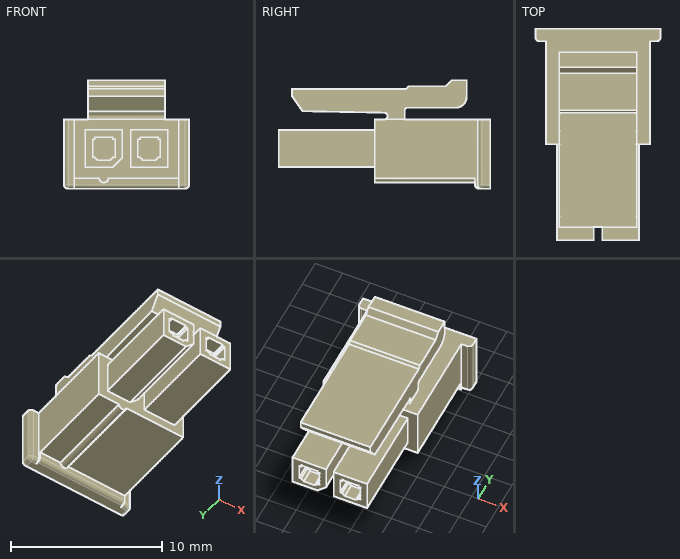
import cadquery as cq


TOTAL_LENGTH = 14.0
TOTAL_HEIGHT = 7.18

BODY_WIDTH = 6.88
BODY_FRONT_Y = 6.34
BODY_BOTTOM_Z = 0.71
BODY_TOP_Z = 4.59

FLANGE_WIDTH = 8.29
WING_THICKNESS = 0.85
LIP_THICKNESS = 1.03
FLANGE_ROUND = 0.28

PITCH = 3.0
PRONG_SIZE = 2.45
PRONG_CENTER_Z = 2.66
KEY_CHAMFER = 0.62

CAVITY_DEPTH = 1.0
CAVITY_WIDTH = 1.48
CAVITY_TOP = 0.74
CAVITY_BOTTOM = -0.79
NOTCH = 0.14
SHOULDER_HEIGHT = -0.59
CAVITY_FLOOR_WIDTH = 0.8

RIB_RADIUS = 0.3

LATCH_WIDTH = 5.1
LATCH_REAR_Y = 12.44
LATCH_REAR_ROUND = 0.75
LATCH_UNDERSIDE_Z = 5.34
THUMB_PAD_FRONT_Y = 11.45
THUMB_PAD_DROP = 0.4
STEP_REAR_Y = 8.6
STEP_DROP = 0.18
TIP_Y = 0.88
TIP_UNDERCUT_Y = 1.58
TIP_EDGE_HEIGHT = 0.48
TIP_BOTTOM_Z = 5.12
NECK_REAR_Y = 8.35
NECK_FRONT_Y = 7.2
NECK_REAR_ROUND = 0.13
SLOT_TOP_Z = 5.02


def block(x_size, y_range, z_range, x_center=0.0):
    """Box centred on x_center and spanning the given Y and Z ranges."""
    y_min, y_max = y_range
    z_min, z_max = z_range
    return cq.Workplane("XY").box(
        x_size, y_max - y_min, z_max - z_min, centered=(True, False, False)
    ).translate((x_center, y_min, z_min))


def make_body():
    return block(BODY_WIDTH, (BODY_FRONT_Y, TOTAL_LENGTH), (BODY_BOTTOM_Z, BODY_TOP_Z))


def make_flange():
    wings = block(FLANGE_WIDTH, (TOTAL_LENGTH - WING_THICKNESS, TOTAL_LENGTH), (0, BODY_TOP_Z))
    wings = wings.edges("|Y and <Z").fillet(FLANGE_ROUND)
    wings = wings.faces("<Y").edges("not >Z").fillet(FLANGE_ROUND)
    lip = block(BODY_WIDTH, (TOTAL_LENGTH - LIP_THICKNESS, TOTAL_LENGTH), (0, BODY_TOP_Z))
    lip = lip.edges("<Y and <Z").fillet(FLANGE_ROUND)
    return wings.union(lip)


def make_rib():
    """Half-round rib under the first contact, running into the rear lip."""
    return (
        cq.Workplane("XZ", origin=(-PITCH / 2, BODY_FRONT_Y, BODY_BOTTOM_Z))
        .circle(RIB_RADIUS)
        .extrude(-(TOTAL_LENGTH - LIP_THICKNESS / 2 - BODY_FRONT_Y))
    )


def make_prong(x_center):
    half = PRONG_SIZE / 2
    z_range = (PRONG_CENTER_Z - half, PRONG_CENTER_Z + half)
    return block(PRONG_SIZE, (0, BODY_FRONT_Y), z_range, x_center)


def make_cavity(x_center):
    """Blind contact opening with notched top corners and a chamfered floor."""
    half = CAVITY_WIDTH / 2
    inner = half - NOTCH
    right_side = [
        (inner, CAVITY_TOP),
        (inner, CAVITY_TOP - NOTCH),
        (half, CAVITY_TOP - NOTCH),
        (half, SHOULDER_HEIGHT),
        (inner, SHOULDER_HEIGHT),
        (CAVITY_FLOOR_WIDTH / 2, CAVITY_BOTTOM),
    ]
    left_side = [(-x, z) for x, z in reversed(right_side)]
    return (
        cq.Workplane("XZ", origin=(x_center, 0, PRONG_CENTER_Z))
        .polyline(right_side + left_side)
        .close()
        .extrude(-CAVITY_DEPTH)
    )


def make_latch():
    """Rocking latch: thumb pad at the rear, neck down to the block, beam to the front."""
    pad_bottom_z = TOTAL_HEIGHT - THUMB_PAD_DROP
    beam_top_z = pad_bottom_z - STEP_DROP
    slot_radius = (SLOT_TOP_Z - BODY_TOP_Z) / 2
    slot_center_y = NECK_FRONT_Y - slot_radius
    slot_center_z = BODY_TOP_Z + slot_radius
    rear_round_z = LATCH_UNDERSIDE_Z + LATCH_REAR_ROUND
    neck_round_z = LATCH_UNDERSIDE_Z - NECK_REAR_ROUND
    neck_root_z = (BODY_BOTTOM_Z + BODY_TOP_Z) / 2
    profile = (
        cq.Workplane("YZ", origin=(-LATCH_WIDTH / 2, 0, 0))
        .moveTo(LATCH_REAR_Y, TOTAL_HEIGHT)
        .lineTo(THUMB_PAD_FRONT_Y, TOTAL_HEIGHT)
        .lineTo(THUMB_PAD_FRONT_Y - THUMB_PAD_DROP, pad_bottom_z)
        .lineTo(STEP_REAR_Y, pad_bottom_z)
        .lineTo(STEP_REAR_Y - STEP_DROP, beam_top_z)
        .lineTo(TIP_Y, beam_top_z)
        .lineTo(TIP_Y, beam_top_z - TIP_EDGE_HEIGHT)
        .lineTo(TIP_UNDERCUT_Y, TIP_BOTTOM_Z)
        .lineTo(slot_center_y, SLOT_TOP_Z)
        .threePointArc((NECK_FRONT_Y, slot_center_z), (slot_center_y, BODY_TOP_Z))
        .lineTo(slot_center_y, neck_root_z)
        .lineTo(NECK_REAR_Y, neck_root_z)
        .lineTo(NECK_REAR_Y, neck_round_z)
        .radiusArc((NECK_REAR_Y + NECK_REAR_ROUND, LATCH_UNDERSIDE_Z), NECK_REAR_ROUND)
        .lineTo(LATCH_REAR_Y - LATCH_REAR_ROUND, LATCH_UNDERSIDE_Z)
        .radiusArc((LATCH_REAR_Y, rear_round_z), -LATCH_REAR_ROUND)
        .close()
    )
    return profile.extrude(LATCH_WIDTH)


contact_positions = [-PITCH / 2, PITCH / 2]
keyed_position, plain_position = contact_positions

keyed_prong = make_prong(keyed_position).edges("|Y and >X and <Z").chamfer(KEY_CHAMFER)

result = make_body().union(make_flange()).union(make_rib()).union(make_latch())
result = result.union(keyed_prong).union(make_prong(plain_position))
for position in contact_positions:
    result = result.cut(make_cavity(position))